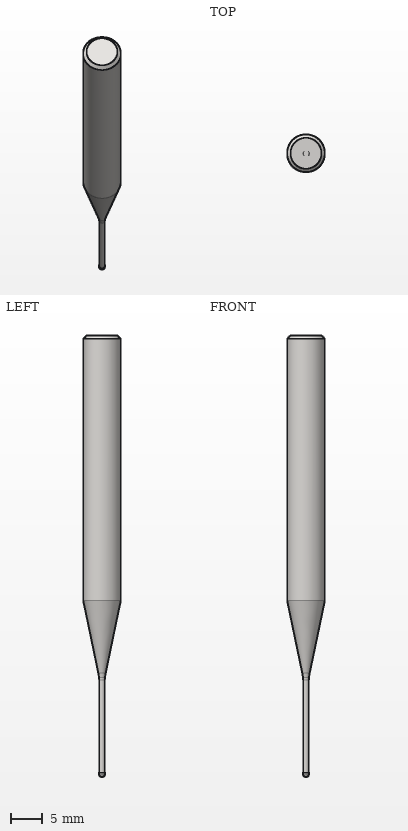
import cadquery as cq
import math

total_length = 70.0
shank_diameter = 6.0
shank_radius = shank_diameter / 2
shank_chamfer = 0.55

head_radius = 0.5
head_top = 0.7

neck_radius = 0.47
neck_top = 15.4
flare_radius = 0.5
flare_height = 15.8
cone_bottom_radius = 0.61
cone_bottom = 16.5
cone_top = 28.0


def make_cutting_head():
    """Short cylinder ending in a hemispherical nose."""
    arc_mid_radius = head_radius * math.sin(math.pi / 4)
    arc_mid_height = head_radius * (1 - math.cos(math.pi / 4))
    return (
        cq.Workplane("XZ")
        .moveTo(0, 0)
        .threePointArc((arc_mid_radius, arc_mid_height), (head_radius, head_radius))
        .lineTo(head_radius, head_top)
        .lineTo(0, head_top)
        .close()
        .revolve(360, (0, 0), (0, 1))
    )


def make_holder():
    """Neck, flare, cone and chamfered shank as one turned body."""
    profile = [
        (0, head_top),
        (neck_radius, head_top),
        (neck_radius, neck_top),
        (flare_radius, flare_height),
        (cone_bottom_radius, cone_bottom),
        (shank_radius, cone_top),
        (shank_radius, total_length - shank_chamfer),
        (shank_radius - shank_chamfer, total_length),
        (0, total_length),
    ]
    return cq.Workplane("XZ").polyline(profile).close().revolve(360, (0, 0), (0, 1))


cutting_head = make_cutting_head()
holder = make_holder()

result = cq.Compound.makeCompound([cutting_head.val(), holder.val()])